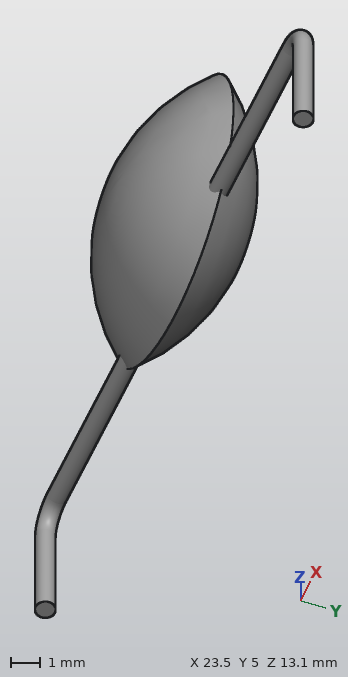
import cadquery as cq
import math

span = 23.5
total_height = 13.1
disc_diameter = 10.48
disc_thickness = 5.0
wire_diameter = 0.7
wire_drop = 2.87
bend_radius = 1.0

disc_radius = disc_diameter / 2
dome_height = disc_thickness / 2
leg_x = (span - wire_diameter) / 2
run_z = -wire_drop
tip_z = disc_radius - total_height
bend_end_x = leg_x - bend_radius
bend_end_z = run_z - bend_radius


def make_wire():
    """Round wire: two legs joined by a straight run with a bend at each end."""
    bend_inset = bend_radius * (1 - math.sqrt(0.5))
    bend_mid_x = leg_x - bend_inset
    bend_mid_z = run_z - bend_inset
    path = (
        cq.Workplane("XZ")
        .moveTo(-leg_x, tip_z)
        .lineTo(-leg_x, bend_end_z)
        .threePointArc((-bend_mid_x, bend_mid_z), (-bend_end_x, run_z))
        .lineTo(bend_end_x, run_z)
        .threePointArc((bend_mid_x, bend_mid_z), (leg_x, bend_end_z))
        .lineTo(leg_x, tip_z)
    )
    return (
        cq.Workplane("XY", origin=(-leg_x, 0, tip_z))
        .circle(wire_diameter / 2)
        .sweep(path)
    )


def make_disc(wire):
    """Lens of two spherical domes meeting at a sharp rim, bored for the wire."""
    sphere_radius = (disc_radius**2 + dome_height**2) / (2 * dome_height)
    half_angle = math.asin(disc_radius / sphere_radius) / 2
    arc_mid_x = sphere_radius * math.sin(half_angle)
    arc_mid_y = dome_height - sphere_radius * (1 - math.cos(half_angle))
    lens = (
        cq.Workplane("XY")
        .moveTo(0, -dome_height)
        .threePointArc((arc_mid_x, -arc_mid_y), (disc_radius, 0))
        .threePointArc((arc_mid_x, arc_mid_y), (0, dome_height))
        .close()
        .revolve(360, (0, 0, 0), (0, 1, 0))
    )
    return lens.cut(wire)


wire = make_wire()
disc = make_disc(wire)

result = cq.Compound.makeCompound([disc.solids().val(), wire.val()])